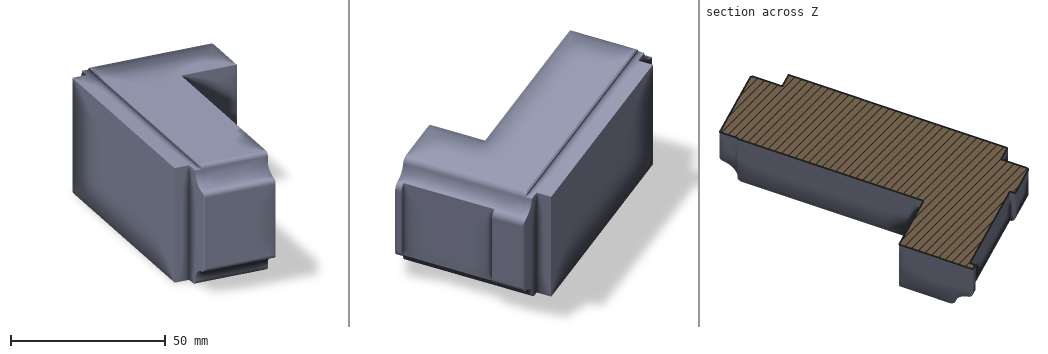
import cadquery as cq
import math

length = 98.0
depth = 51.2
height = 42.1

leg_width = 26.1
bar_rear = 31.3
right_rear_setback = 0.3
right_end_width = 6.5

slab_thickness = 5.2
slab_left_inset = 9.8
slab_right_inset = 11.0

step_drop = 1.4
step_run = 2.2
edge_chamfer = 0.5

left_groove_radius = 5.6
left_groove_inset_x = 0.6
left_groove_inset_z = 0.9
left_lip_radius = 2.4
right_groove_radius = 5.8
right_groove_inset_x = 0.7
right_groove_inset_z = 1.2
right_lip_radius = 1.6

recess_depth = 1.9
recess_front = 16.6
recess_rear = depth - 2.2


def corner_points(groove_radius, inset_x, inset_z, lip_radius):
    """Tangent points and arc midpoints from the end face to the horizontal face of one corner.

    Points are (distance from the end, distance from the top or bottom). The lip arcs
    touch the flat faces and the groove arc, so the whole curve is smooth.
    """
    reach = groove_radius + lip_radius
    end_lip = (lip_radius, inset_z + math.sqrt(reach**2 - (lip_radius - inset_x) ** 2))
    flat_lip = (inset_x + math.sqrt(reach**2 - (lip_radius - inset_z) ** 2), lip_radius)

    def on_groove(angle):
        return (
            inset_x + groove_radius * math.cos(angle),
            inset_z + groove_radius * math.sin(angle),
        )

    def on_lip(center, angle):
        return (
            center[0] + lip_radius * math.cos(angle),
            center[1] + lip_radius * math.sin(angle),
        )

    end_angle = math.atan2(end_lip[1] - inset_z, end_lip[0] - inset_x)
    flat_angle = math.atan2(flat_lip[1] - inset_z, flat_lip[0] - inset_x)
    end_lip_middle = math.pi + end_angle / 2
    flat_lip_middle = 1.25 * math.pi + flat_angle / 2
    return [
        (0, end_lip[1]),
        on_lip(end_lip, end_lip_middle),
        on_groove(end_angle),
        on_groove((end_angle + flat_angle) / 2),
        on_groove(flat_angle),
        on_lip(flat_lip, flat_lip_middle),
        (flat_lip[0], 0),
    ]


def add_corner(profile, points):
    """Draw the three arcs of a corner, starting with a line to its first point."""
    profile = profile.lineTo(*points[0])
    for middle, end in ((1, 2), (3, 4), (5, 6)):
        profile = profile.threePointArc(points[middle], points[end])
    return profile


def box(x_min, x_max, y_min, y_max, z_min, z_max):
    size = (x_max - x_min, y_max - y_min, z_max - z_min)
    return cq.Workplane("XY").box(*size, centered=False).translate((x_min, y_min, z_min))


def end_profile_prism():
    """Front outline with its four grooved corners, run back to the rear face."""
    left = corner_points(left_groove_radius, left_groove_inset_x, left_groove_inset_z, left_lip_radius)
    right = corner_points(
        right_groove_radius, right_groove_inset_x, right_groove_inset_z, right_lip_radius
    )
    top_left = [(x, height - z) for x, z in left]
    top_right = [(length - x, height - z) for x, z in reversed(right)]
    bottom_right = [(length - x, z) for x, z in right]
    bottom_left = list(reversed(left))

    profile = cq.Workplane("XZ", origin=(0, slab_thickness, 0)).moveTo(*bottom_left[-1])
    for corner in (top_left, top_right, bottom_right, bottom_left):
        profile = add_corner(profile, corner)
    return profile.close().extrude(slab_thickness - depth)


def front_edge_chamfer(near_edge, inward):
    """Wedge that bevels one straight front edge; inward is the direction along X into the body."""
    front = slab_thickness
    return (
        cq.Workplane("XY")
        .polyline([
            (near_edge, front),
            (near_edge + inward * edge_chamfer, front),
            (near_edge, front + edge_chamfer),
        ])
        .close()
        .extrude(height)
    )


body = end_profile_prism()

body = body.cut(front_edge_chamfer(0, 1))
body = body.cut(front_edge_chamfer(length, -1))

body = body.cut(box(leg_width, length, bar_rear, depth, 0, height))
body = body.cut(
    box(length - right_end_width, length, bar_rear - right_rear_setback, bar_rear, 0, height)
)

step_rear = slab_thickness + step_run
step_cut = (
    cq.Workplane("YZ")
    .polyline([
        (slab_thickness, height),
        (slab_thickness, height - step_drop),
        (step_rear, height - step_drop),
        (step_rear, height - edge_chamfer),
        (step_rear + edge_chamfer, height),
    ])
    .close()
    .extrude(length)
)
body = body.cut(step_cut)

body = body.cut(box(0, recess_depth, recess_front, recess_rear, 0, height))

slab = box(
    slab_left_inset, length - slab_right_inset, 0, slab_thickness, 0, height - step_drop
)
result = body.union(slab)